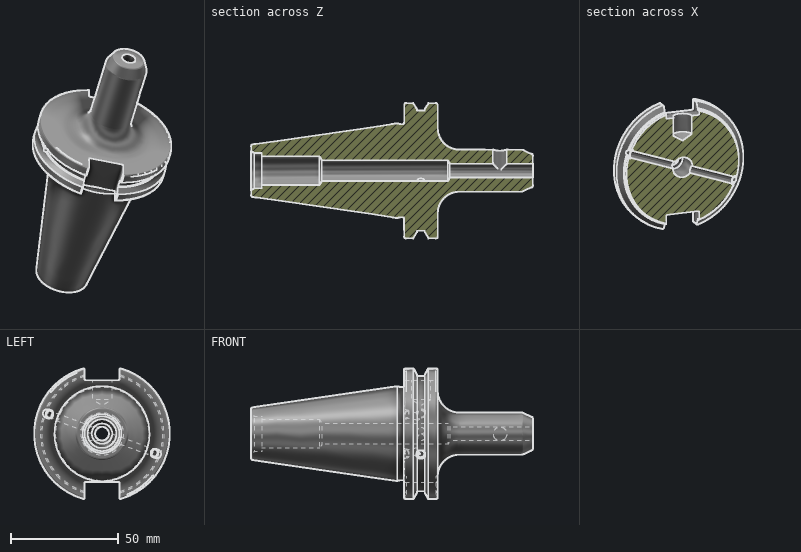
import cadquery as cq
import math

TAPER_LENGTH = 68.25
NOSE_END_X = 63.5
SMALL_END_X = -TAPER_LENGTH

GAUGE_DIAMETER = 44.45
TAPER_RATIO = 7 / 24
SMALL_END_DIAMETER = GAUGE_DIAMETER - TAPER_RATIO * TAPER_LENGTH
SMALL_END_ROUND = 1.0
NECK_DIAMETER = 43.6
NECK_START_X = 1.6
NECK_FILLET = 0.5

FLANGE_DIAMETER = 63.5
FLANGE_REAR_X = 3.18
FLANGE_FRONT_X = 19.05
FLANGE_ROUND = 1.0
GROOVE_X = (FLANGE_REAR_X + FLANGE_FRONT_X) / 2
GROOVE_FLOOR_DIAMETER = 56.36
GROOVE_FLOOR_WIDTH = 3.6
GROOVE_MOUTH_WIDTH = 7.0
GROOVE_HALF_ANGLE = math.radians(30)

NOSE_DIAMETER = 19.81
NOSE_FILLET = 10.0
NOSE_CONE_LENGTH = 5.0
NOSE_CONE_ANGLE = math.radians(25)
NOSE_END_ROUND = 1.0
NOSE_SHOULDER_ROUND = 1.0

SLOT_WIDTH = 16.3
TOP_SLOT_FLOOR = 25.0
BOTTOM_SLOT_FLOOR = 22.6
SLOT_FLOOR_FILLET = 0.5
SLOT_MOUTH_BEVEL = 0.5
DIMPLE_DIAMETER = 9.0
DIMPLE_DEPTH = 9.0

COUNTERBORE_DIAMETER = 16.3
COUNTERBORE_DEPTH = 5.0
ENTRY_DIAMETER = 18.2
ENTRY_DEPTH = 1.65
THREAD_BORE_DIAMETER = 13.39
THREAD_BORE_DEPTH = 32.0
MIDDLE_BORE_DIAMETER = 9.53
MIDDLE_BORE_DEPTH = 92.0
TOOL_BORE_DIAMETER = 6.35
DRILL_POINT_ANGLE = math.radians(59)

SET_SCREW_DIAMETER = 6.35
SET_SCREW_X = 48.0

COOLANT_ANGLE = 20.3
PLUG_DIAMETER = 4.2
CHANNEL_DIAMETER = 3.24
FACE_PLUG_DEPTH = 1.5
GROOVE_PLUG_DEPTH = 1.0
FACE_HOLE_RADIUS = 26.9
FACE_HOLE_TILT = math.radians(30)

CUT_OVERRUN = 3.0


def revolve_about_x(profile):
    """Turn a closed (x, radius) profile about the X axis."""
    return profile.close().revolve(360, (0, 0, 0), (1, 0, 0))


def drill(start, direction, diameter, depth, pointed=False):
    """Cylinder from a start point, with a conical drill point if wanted."""
    axis = cq.Vector(*direction).normalized()
    tip_start = cq.Vector(*start) + axis * depth
    radius = diameter / 2
    tool = cq.Workplane(obj=cq.Solid.makeCylinder(radius, depth, cq.Vector(*start), axis))
    if pointed:
        tip_length = radius / math.tan(DRILL_POINT_ANGLE)
        tool = tool.union(cq.Workplane(obj=cq.Solid.makeCone(radius, 0, tip_length, tip_start, axis)))
    return tool


def round_ring(body, x, radius, fillet):
    """Fillet the circular edge that lies at one X position and radius."""
    margin = 0.01

    def disc_box(reach):
        low = (x - margin, -reach, -reach)
        high = (x + margin, reach, reach)
        return cq.selectors.BoxSelector(low, high, boundingbox=True)

    outer = disc_box(radius + margin)
    inner = disc_box(radius - margin)
    return body.edges(outer - inner).fillet(fillet)


def make_body():
    """Turned outside: taper, neck, flange, filleted nose."""
    small_r = SMALL_END_DIAMETER / 2
    neck_r = NECK_DIAMETER / 2
    flange_r = FLANGE_DIAMETER / 2
    nose_r = NOSE_DIAMETER / 2
    end_r = nose_r - NOSE_CONE_LENGTH * math.tan(NOSE_CONE_ANGLE)
    arc_mid = NOSE_FILLET * (1 - math.sqrt(0.5))
    profile = (
        cq.Workplane("XZ")
        .moveTo(SMALL_END_X, 0)
        .lineTo(SMALL_END_X, small_r)
        .lineTo(0, GAUGE_DIAMETER / 2)
        .lineTo(NECK_START_X, neck_r)
        .lineTo(FLANGE_REAR_X, neck_r)
        .lineTo(FLANGE_REAR_X, flange_r)
        .lineTo(FLANGE_FRONT_X, flange_r)
        .lineTo(FLANGE_FRONT_X, nose_r + NOSE_FILLET)
        .threePointArc(
            (FLANGE_FRONT_X + arc_mid, nose_r + arc_mid),
            (FLANGE_FRONT_X + NOSE_FILLET, nose_r),
        )
        .lineTo(NOSE_END_X - NOSE_CONE_LENGTH, nose_r)
        .lineTo(NOSE_END_X, end_r)
        .lineTo(NOSE_END_X, 0)
    )
    body = revolve_about_x(profile)
    body = round_ring(body, SMALL_END_X, small_r, SMALL_END_ROUND)
    body = round_ring(body, FLANGE_REAR_X, neck_r, NECK_FILLET)
    body = round_ring(body, FLANGE_REAR_X, flange_r, FLANGE_ROUND)
    body = round_ring(body, FLANGE_FRONT_X, flange_r, FLANGE_ROUND)
    body = round_ring(body, NOSE_END_X - NOSE_CONE_LENGTH, nose_r, NOSE_SHOULDER_ROUND)
    return round_ring(body, NOSE_END_X, end_r, NOSE_END_ROUND)


def make_groove():
    """V groove with a straight-walled floor."""
    flange_r = FLANGE_DIAMETER / 2
    floor_r = GROOVE_FLOOR_DIAMETER / 2
    mouth = GROOVE_MOUTH_WIDTH / 2
    floor = GROOVE_FLOOR_WIDTH / 2
    wall_top_r = flange_r - (mouth - floor) / math.tan(GROOVE_HALF_ANGLE)
    beyond_r = flange_r + CUT_OVERRUN
    profile = cq.Workplane("XZ").polyline([
        (GROOVE_X - floor, floor_r),
        (GROOVE_X - floor, wall_top_r),
        (GROOVE_X - mouth, flange_r),
        (GROOVE_X - mouth, beyond_r),
        (GROOVE_X + mouth, beyond_r),
        (GROOVE_X + mouth, flange_r),
        (GROOVE_X + floor, wall_top_r),
        (GROOVE_X + floor, floor_r),
    ])
    return revolve_about_x(profile)


def make_slot(floor_height, side):
    """Drive slot with filleted floor and beveled mouth; side is +1 for +Z and -1 for -Z."""
    half = SLOT_WIDTH / 2
    mouth_half = half + SLOT_MOUTH_BEVEL
    mouth_z = math.sqrt((FLANGE_DIAMETER / 2) ** 2 - mouth_half ** 2)
    bevel_z = mouth_z - SLOT_MOUTH_BEVEL
    flare = FLANGE_DIAMETER / 2 - bevel_z
    arc_mid = SLOT_FLOOR_FILLET * (1 - math.sqrt(0.5))
    profile = (
        cq.Workplane("YZ", origin=(FLANGE_REAR_X, 0, 0))
        .moveTo(0, floor_height)
        .lineTo(half - SLOT_FLOOR_FILLET, floor_height)
        .threePointArc((half - arc_mid, floor_height + arc_mid), (half, floor_height + SLOT_FLOOR_FILLET))
        .lineTo(half, bevel_z)
        .lineTo(half + flare, bevel_z + flare)
        .lineTo(0, bevel_z + flare)
        .mirrorY()
    )
    slot = profile.extrude(FLANGE_FRONT_X - FLANGE_REAR_X)
    return slot if side > 0 else slot.mirror("XY")


def make_bore():
    """Stepped axial bore, open at both ends, with drill-point shoulders."""
    counterbore_r = COUNTERBORE_DIAMETER / 2
    thread_r = THREAD_BORE_DIAMETER / 2
    middle_r = MIDDLE_BORE_DIAMETER / 2
    tool_r = TOOL_BORE_DIAMETER / 2
    thread_end = SMALL_END_X + THREAD_BORE_DEPTH
    middle_end = SMALL_END_X + MIDDLE_BORE_DEPTH
    profile = cq.Workplane("XZ").polyline([
        (SMALL_END_X, 0),
        (SMALL_END_X, ENTRY_DIAMETER / 2),
        (SMALL_END_X + ENTRY_DEPTH, counterbore_r),
        (SMALL_END_X + COUNTERBORE_DEPTH, counterbore_r),
        (SMALL_END_X + COUNTERBORE_DEPTH, thread_r),
        (thread_end, thread_r),
        (thread_end + (thread_r - middle_r) / math.tan(DRILL_POINT_ANGLE), middle_r),
        (middle_end, middle_r),
        (middle_end + (middle_r - tool_r) / math.tan(DRILL_POINT_ANGLE), tool_r),
        (NOSE_END_X, tool_r),
        (NOSE_END_X, 0),
    ])
    return revolve_about_x(profile)


def make_coolant_channel(angle):
    """Tilted hole from the rear flange face and a radial hole from the groove, both with wider mouths."""
    lead = CUT_OVERRUN
    groove_r = GROOVE_FLOOR_DIAMETER / 2
    tilted_axis = (math.cos(FACE_HOLE_TILT), -math.sin(FACE_HOLE_TILT), 0)
    radial_axis = (0, -1, 0)
    face_start = (FLANGE_REAR_X - lead * tilted_axis[0], FACE_HOLE_RADIUS - lead * tilted_axis[1], 0)
    groove_start = (GROOVE_X, groove_r + lead, 0)
    face_depth = lead + (GROOVE_X - FLANGE_REAR_X) / tilted_axis[0]
    channel = (
        drill(face_start, tilted_axis, PLUG_DIAMETER, lead + FACE_PLUG_DEPTH)
        .union(drill(face_start, tilted_axis, CHANNEL_DIAMETER, face_depth))
        .union(drill(groove_start, radial_axis, PLUG_DIAMETER, lead + GROOVE_PLUG_DEPTH))
        .union(drill(groove_start, radial_axis, CHANNEL_DIAMETER, lead + groove_r))
    )
    return channel.rotate((0, 0, 0), (1, 0, 0), angle)


def make_dimple():
    """Pointed hole in the floor of the +Z drive slot."""
    return drill((GROOVE_X, 0, TOP_SLOT_FLOOR), (0, 0, -1), DIMPLE_DIAMETER, DIMPLE_DEPTH, pointed=True)


def make_set_screw_hole():
    """Radial hole from the +Y side of the nose into the tool bore."""
    nose_r = NOSE_DIAMETER / 2
    return drill((SET_SCREW_X, nose_r, 0), (0, -1, 0), SET_SCREW_DIAMETER, nose_r)


result = make_body().cut(make_groove())
result = result.cut(make_slot(TOP_SLOT_FLOOR, 1)).cut(make_slot(BOTTOM_SLOT_FLOOR, -1))
result = result.cut(make_dimple()).cut(make_bore()).cut(make_set_screw_hole())
for half_turn in (0, 180):
    result = result.cut(make_coolant_channel(COOLANT_ANGLE + half_turn))